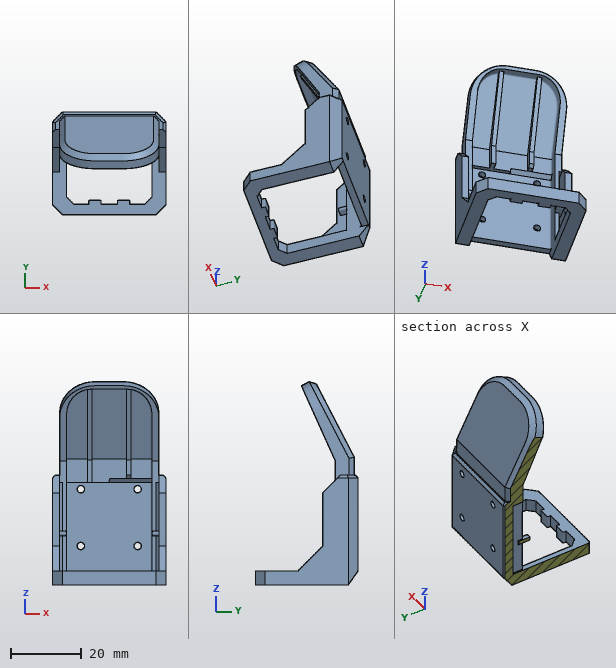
import cadquery as cq
import math


width = 32.0
length = 29.0
height = 57.31
corner_cut = 2.8
base_height = 4.0
wall = 2.0
inside_half_width = width / 2 - wall

cheek_top = 31.0
cheek_depth = 10.0
cheek_upper_slope_drop = 5.0
cheek_lower_slope = 7.0
cheek_edge_chamfer = 0.8

opening_half_width = 12.0
frame_front_width = 3.0
opening_corner_cut = 2.0
tab_inner_x = 2.3
tab_width = 3.5
tab_reach = 1.1
tab_corner_radius = 0.3

tray_back = 1.1
tray_front = 6.5
back_bend_z = 36.05
front_bend_z = 35.0
back_tilt = math.radians(27.4)
front_tilt = math.radians(24.3)
tray_corner_radius = 10.0
tray_edge_chamfer = 1.5

floor_thickness = 2.0
hollow_top = 55.17
hollow_corner_radius = 7.0
hollow_fillet = 0.45
rib_centre_x = 5.53
rib_width = 1.3
rib_setback = 1.0

recess_floor = 2.0
recess_top = 28.9
recess_step_rise = 1.15
rib_step_rise = 0.9

rim_outer_x = width / 2 - corner_cut
peg_centre_z = 14.52
peg_height = 1.3
peg_back = 5.0
peg_front = 9.0
peg_fillet = 0.5

hole_diameter = 2.0
hole_spacing = 16.0
hole_centre_z = 19.0

position_tolerance = 0.01


def side_prism(points, x_min, x_max):
    """Solid with a side profile of (distance from the back, z) points, spanning x_min to x_max."""
    outline = [(-depth, z) for depth, z in points]
    return cq.Workplane("YZ").workplane(offset=x_min).polyline(outline).close().extrude(x_max - x_min)


def block(x_min, x_max, back, front, z_min, z_max):
    """Upright box; back and front are distances from the back of the part."""
    return side_prism([(back, z_min), (front, z_min), (front, z_max), (back, z_max)], x_min, x_max)


def mirrored(solid):
    """The solid together with its mirror image across the middle plane."""
    return solid.union(solid.mirror("YZ"))


def tilted_point(start, tilt, z):
    """Point at height z on a line leaning forward by tilt from the (depth, z) start."""
    depth, start_z = start
    return (depth + (z - start_z) * math.tan(tilt), z)


def face_towards(solid, direction):
    """The flat or curved face of the solid whose outward normal is nearest to the direction."""
    return max(solid.faces().vals(), key=lambda face: face.normalAt().dot(direction))


def rear_outline(solid):
    """Edges around the bent rear surface, without the bend itself and the straight bottom edge."""
    upright = face_towards(solid, cq.Vector(0, 1, 0))
    tilted = face_towards(solid, cq.Vector(0, math.cos(back_tilt), math.sin(back_tilt)))
    highest_bend = max(edge.Center().z for edge in upright.Edges())

    def runs_across(edge):
        is_central = math.isclose(edge.Center().x, 0, abs_tol=position_tolerance)
        return is_central and edge.Center().z <= highest_bend + position_tolerance

    return [edge for face in (upright, tilted) for edge in face.Edges() if not runs_across(edge)]


def make_shell():
    """Base and cheeks: one octagonal block trimmed to its side profile."""
    shell = (
        cq.Workplane("XY")
        .rect(width, length)
        .extrude(cheek_top)
        .translate((0, -length / 2, 0))
        .edges("|Z")
        .chamfer(corner_cut)
        .faces(">Z")
        .edges()
        .chamfer(cheek_edge_chamfer)
    )
    slope_start = cheek_depth - cheek_upper_slope_drop
    foot_depth = cheek_depth + cheek_lower_slope
    profile = [
        (0, base_height),
        (corner_cut, 0),
        (length, 0),
        (length, base_height),
        (foot_depth, base_height),
        (cheek_depth, base_height + cheek_lower_slope),
        (cheek_depth, cheek_top - cheek_upper_slope_drop),
        (slope_start, cheek_top),
        (0, cheek_top),
    ]
    return shell.intersect(side_prism(profile, -width / 2, width / 2))


def make_inside():
    """Space between the cheeks, with back corners parallel to the outer ones."""
    corner_shift = wall * math.sqrt(2)
    corner_back = inside_half_width - rim_outer_x + corner_shift
    half = [
        (0, -corner_shift),
        (rim_outer_x, -corner_shift),
        (inside_half_width, -corner_back),
        (inside_half_width, -length),
        (0, -length),
    ]
    space = cq.Workplane("XY").workplane(offset=base_height).polyline(half).close().extrude(cheek_top)
    return mirrored(space)


def make_tray():
    """Upright plate bent forward, with a rounded top and a chamfered back edge."""
    back_bend = (tray_back, back_bend_z)
    front_bend = (tray_front, front_bend_z)
    sine, cosine = math.sin(back_tilt), math.cos(back_tilt)
    reach = (height - back_bend_z + tray_edge_chamfer * sine) / cosine
    end_back = (tray_back + reach * sine, back_bend_z + reach * cosine)
    front_at_end = tilted_point(front_bend, front_tilt, end_back[1])[0]
    end_thickness = (front_at_end - end_back[0]) / (cosine + sine * math.tan(front_tilt))
    end_front = (end_back[0] + end_thickness * cosine, end_back[1] - end_thickness * sine)
    profile = [
        (tray_back, base_height),
        back_bend,
        end_back,
        end_front,
        front_bend,
        (tray_front, base_height),
    ]
    tray = side_prism(profile, -inside_half_width, inside_half_width)
    end_face = face_towards(tray, cq.Vector(0, -sine, cosine))
    corners = [
        edge for edge in end_face.Edges()
        if math.isclose(abs(edge.Center().x), inside_half_width, abs_tol=position_tolerance)
    ]
    tray = tray.newObject(corners).fillet(tray_corner_radius)
    return tray.newObject(rear_outline(tray)).chamfer(tray_edge_chamfer)


def front_region(back, bend_z, tilt, x_min, x_max):
    """Everything in front of a bent surface: upright up to bend_z, then leaning forward."""
    top = tilted_point((back, bend_z), tilt, height)
    profile = [(back, 0), (back, bend_z), top, (length, height), (length, 0)]
    return side_prism(profile, x_min, x_max)


def make_hollow():
    """Arched hollow cut straight in from the front down to the bent floor."""
    floor_back = tray_back + floor_thickness
    floor_bend_z = back_bend_z - floor_thickness * math.tan(back_tilt / 2)
    arch = (
        cq.Workplane("XZ")
        .rect(2 * opening_half_width, hollow_top - base_height)
        .extrude(length)
        .translate((0, 0, (hollow_top + base_height) / 2))
        .edges("|Y and >Z")
        .fillet(hollow_corner_radius)
    )
    region = front_region(floor_back, floor_bend_z, back_tilt, -opening_half_width, opening_half_width)
    hollow = arch.intersect(region)
    return hollow.newObject(rear_outline(hollow)).fillet(hollow_fillet)


def make_ribs():
    """Two upright ribs following the bend, set back from the rim."""
    rib_root = tray_back + floor_thickness / 2
    rib_front = tray_front - rib_setback
    front_line_bend_z = front_bend_z + rib_setback * math.tan(front_tilt / 2)
    rib = block(
        rib_centre_x - rib_width / 2,
        rib_centre_x + rib_width / 2,
        rib_root,
        length,
        recess_top,
        hollow_top,
    )
    rib = rib.intersect(front_region(rib_root, back_bend_z, back_tilt, 0, width))
    rib = rib.cut(front_region(rib_front, front_line_bend_z, front_tilt, 0, width))
    return mirrored(rib)


def make_recess():
    """Deeper floor behind the board; on the +X half its ceiling and the rib end slope up at 45 degrees."""
    recess = block(-opening_half_width, opening_half_width, recess_floor, tray_front, base_height, recess_top)
    recess = recess.edges("|Z and >Y").fillet(hollow_fillet)
    step_top = recess_top + recess_step_rise
    step_front = recess_floor + recess_step_rise
    rib_front = tray_front - rib_setback
    rib_slope_back = rib_front - rib_step_rise
    step_profile = [
        (recess_floor, recess_top),
        (step_front, step_top),
        (rib_front, step_top),
        (rib_front, recess_top),
    ]
    step = side_prism(step_profile, 0, opening_half_width)
    slope_end = cq.selectors.NearestToPointSelector(
        (0, -(recess_floor + step_front) / 2, (recess_top + step_top) / 2)
    )
    step = step.edges(slope_end).fillet(hollow_fillet)
    rib_profile = [
        (rib_slope_back, step_top),
        (rib_front, step_top + rib_step_rise),
        (rib_front, step_top),
    ]
    rib_notch = side_prism(rib_profile, 0, opening_half_width)
    return recess.union(step).union(rib_notch)


def make_opening():
    """Hole through the base with cut front corners and two tabs on its front edge."""
    front = length - frame_front_width
    opening = block(-opening_half_width, opening_half_width, 0, front, 0, base_height)
    opening = opening.edges("|Z and <Y").chamfer(opening_corner_cut)
    tab = block(tab_inner_x, tab_inner_x + tab_width, front - tab_reach, front, 0, base_height)
    tab = tab.edges("|Z and >Y").fillet(tab_corner_radius)
    return opening.cut(mirrored(tab))


def make_slots():
    """Clearance on both sides of the board recess, between its rim and the cheeks."""
    half = block(rim_outer_x, inside_half_width, 0, tray_front, base_height, recess_top)
    return mirrored(half).intersect(make_inside())


def make_pegs():
    """Rounded pegs bridging the slots and standing proud of the rim."""
    half_height = peg_height / 2
    peg = block(
        opening_half_width,
        inside_half_width,
        peg_back,
        peg_front,
        peg_centre_z - half_height,
        peg_centre_z + half_height,
    )
    peg = peg.faces("<X").edges("|Y").fillet(peg_fillet)
    peg = peg.faces("<Y").edges("not(>X)").fillet(peg_fillet)
    return mirrored(peg)


def make_holes():
    """Square pattern of screw holes through the back panel."""
    return (
        cq.Workplane("XZ")
        .center(0, hole_centre_z)
        .rarray(hole_spacing, hole_spacing, 2, 2)
        .circle(hole_diameter / 2)
        .extrude(tray_front)
    )


result = make_shell().cut(make_inside()).union(make_tray())
result = result.cut(make_hollow()).union(make_ribs())
result = result.cut(make_recess()).cut(make_opening()).cut(make_slots())
result = result.union(make_pegs()).cut(make_holes())